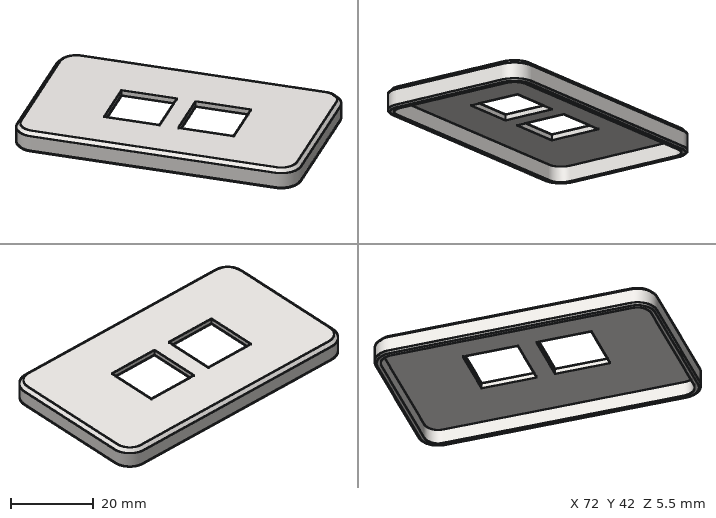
import cadquery as cq

length = 72.0
width = 42.0
height = 5.5
corner_radius = 5.05
top_chamfer = 1.0
bottom_chamfer = 0.5

wall = 1.5

window_size = 14.05
window_pitch = 18.8
window_offset_y = -0.9


def rounded_block(block_length, block_width, block_height, radius):
    """Block centred on the Z axis, standing on Z = 0, with rounded vertical edges."""
    block = cq.Workplane("XY").box(block_length, block_width, block_height, centered=(True, True, False))
    return block.edges("|Z").fillet(radius)


def make_body():
    body = rounded_block(length, width, height, corner_radius)
    body = body.faces(">Z").edges().chamfer(top_chamfer)
    return body.faces("<Z").edges().chamfer(bottom_chamfer)


def make_cavity():
    return rounded_block(length - 2 * wall, width - 2 * wall, height - wall, corner_radius - wall)


def make_windows():
    return (
        cq.Workplane("XY")
        .center(0, window_offset_y)
        .rarray(window_pitch, 0.7, 2, 1)
        .rect(window_size, window_size)
        .extrude(height)
    )


result = make_body().cut(make_cavity()).cut(make_windows())